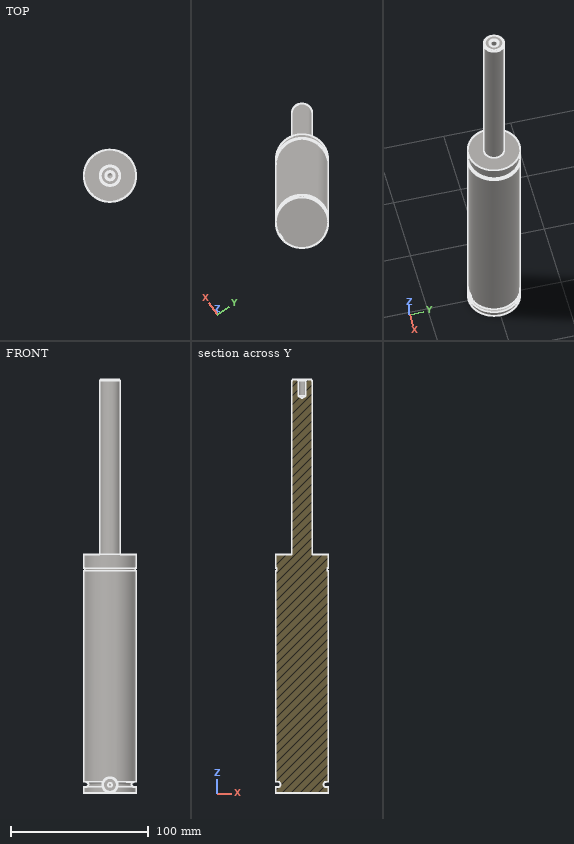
import cadquery as cq

total_height = 300.0
body_diameter = 38.0
body_height = 173.0
body_radius = body_diameter / 2
cutter_margin = 3.0

rod_diameter = 15.0
rod_chamfer = 1.0
rod_hole_diameter = 5.0
rod_hole_depth = 12.0
rod_hole_chamfer = 1.0
drill_tip_height = 1.5

cap_height = 10.0
cap_groove_width = 1.8
cap_groove_depth = 0.5
foot_height = 4.5
foot_groove_width = 3.5
foot_groove_depth = 3.3

port_height = 6.0
port_diameter = 11.0
port_recess = 1.0
port_depth = 7.5
plug_diameter = 10.0
plug_recess = 1.2
plug_hole_diameter = 3.0
plug_hole_depth = 3.0


def disc(diameter, bottom, top):
    """Vertical cylinder on the part axis between two heights."""
    return cq.Workplane("XY").workplane(offset=bottom).circle(diameter / 2).extrude(top - bottom)


def ring(depth, bottom, width):
    """Square groove cutter reaching a given depth into the body wall."""
    outer = disc(body_diameter + 2 * cutter_margin, bottom, bottom + width)
    return outer.cut(disc(body_diameter - 2 * depth, bottom, bottom + width))


def round_groove():
    """Foot groove cutter with parallel sides and a full-round bottom."""
    bottom_radius = foot_groove_width / 2
    floor = body_radius - foot_groove_depth
    round_start = floor + bottom_radius
    outside = body_radius + cutter_margin
    top = foot_height + foot_groove_width
    return (
        cq.Workplane("XZ")
        .moveTo(outside, foot_height)
        .lineTo(round_start, foot_height)
        .threePointArc((floor, foot_height + bottom_radius), (round_start, top))
        .lineTo(outside, top)
        .close()
        .revolve(360, (0, 0, 0), (0, 1, 0))
    )


def port_cylinder(diameter, recess, length):
    """Cylinder along +Y, starting at a given recess below the -Y side of the body."""
    plane = cq.Plane(
        origin=(0, recess - body_radius, port_height), xDir=(1, 0, 0), normal=(0, 1, 0)
    )
    return cq.Workplane(plane).circle(diameter / 2).extrude(length)


def make_rod():
    rod = disc(rod_diameter, body_height, total_height).faces(">Z").chamfer(rod_chamfer)
    hole_radius = rod_hole_diameter / 2
    hole_bottom = total_height - rod_hole_depth
    hole = (
        cq.Workplane("XZ")
        .moveTo(0, hole_bottom - drill_tip_height)
        .lineTo(hole_radius, hole_bottom)
        .lineTo(hole_radius, total_height - rod_hole_chamfer)
        .lineTo(hole_radius + rod_hole_chamfer, total_height)
        .lineTo(0, total_height)
        .close()
        .revolve(360, (0, 0, 0), (0, 1, 0))
    )
    return rod.cut(hole)


def make_body():
    body = disc(body_diameter, 0, body_height)
    cap_groove_bottom = body_height - cap_height - cap_groove_width
    body = body.cut(ring(cap_groove_depth, cap_groove_bottom, cap_groove_width))
    return body.cut(round_groove())


def add_port(body):
    """Fill the groove with the port boss, then set a plug slightly below its face."""
    body = body.cut(port_cylinder(port_diameter, -port_recess, 2 * port_recess))
    body = body.union(port_cylinder(port_diameter, port_recess, port_depth))
    body = body.cut(port_cylinder(plug_diameter, port_recess, plug_recess - port_recess))
    return body.cut(port_cylinder(plug_hole_diameter, plug_recess, plug_hole_depth))


result = add_port(make_body()).union(make_rod())